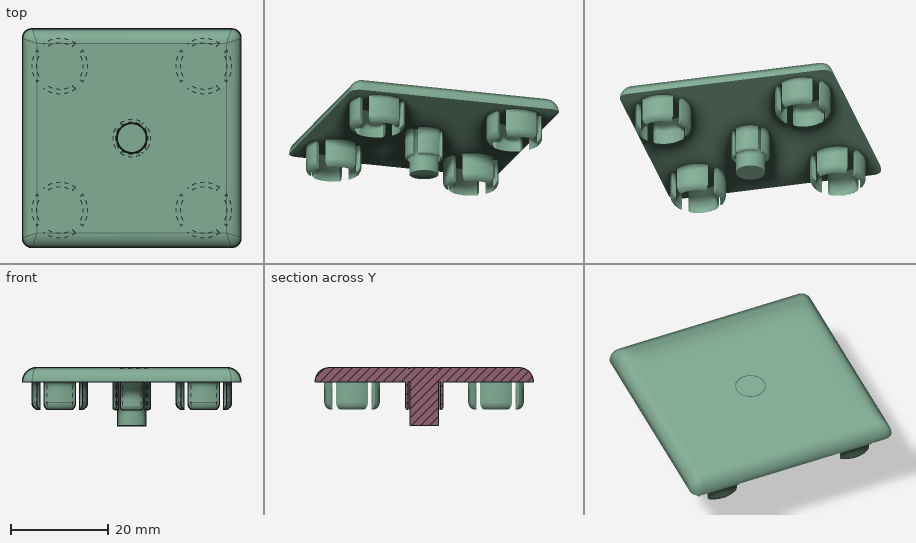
import cadquery as cq

plate_side = 45.0
plate_thickness = 3.0
corner_radius = 2.0

corner_plug_offset = 14.8
corner_plug_radius = 5.7
corner_plug_bore_radius = 4.75
corner_plug_length = 5.75
corner_plug_slot = 2.02
corner_plug_rounding = 1.55

collar_radius = 3.85
collar_bore_radius = 3.35
collar_length = 5.7
collar_slot = 1.1
collar_rounding = 0.55

pin_radius = 2.95
pin_length = 9.0
groove_radius = 3.15
groove_depth = 0.22


def quarter_round_bar(plane):
    """Bar along the normal of the given plane whose two long upper edges are quarter round."""
    half_side = plate_side / 2
    half_flat = half_side - plate_thickness
    return (
        cq.Workplane(plane)
        .moveTo(-half_side, 0)
        .radiusArc((-half_flat, plate_thickness), plate_thickness)
        .lineTo(half_flat, plate_thickness)
        .radiusArc((half_side, 0), plate_thickness)
        .close()
        .extrude(half_side, both=True)
    )


def make_plate():
    """Cross the two bars for mitred rims, then round the curved mitre edges at the corners."""
    plate = quarter_round_bar("XZ").intersect(quarter_round_bar("YZ"))
    mitre_edges = [edge for edge in plate.edges().vals() if edge.geomType() == "ELLIPSE"]
    return plate.newObject(mitre_edges).fillet(corner_radius)


def split_sleeve(radius, bore_radius, length, slot_width, rounding):
    """Tube hanging below the plate, rounded before boring and split in four by diagonal slots."""
    solid_post = cq.Workplane("XY").circle(radius).extrude(-length)
    sleeve = solid_post.faces("<Z").edges().fillet(rounding)
    sleeve = sleeve.cut(cq.Workplane("XY").circle(bore_radius).extrude(-length))
    for angle in (45, 135):
        slot = cq.Workplane("XY").rect(4 * radius, slot_width).extrude(-length)
        sleeve = sleeve.cut(slot.rotate((0, 0, 0), (0, 0, 1), angle))
    return sleeve


def make_groove():
    """Fine ring in the top face around the end of the pin."""
    top = cq.Workplane("XY").workplane(offset=plate_thickness)
    return top.circle(groove_radius).circle(pin_radius).extrude(-groove_depth)


result = make_plate()

corner_plug = split_sleeve(
    corner_plug_radius, corner_plug_bore_radius, corner_plug_length, corner_plug_slot, corner_plug_rounding
)
for x_side in (-1, 1):
    for y_side in (-1, 1):
        position = (x_side * corner_plug_offset, y_side * corner_plug_offset, 0)
        result = result.union(corner_plug.translate(position))

collar = split_sleeve(collar_radius, collar_bore_radius, collar_length, collar_slot, collar_rounding)
pin = cq.Workplane("XY").circle(pin_radius).extrude(-pin_length)
result = result.union(collar).union(pin).cut(make_groove())